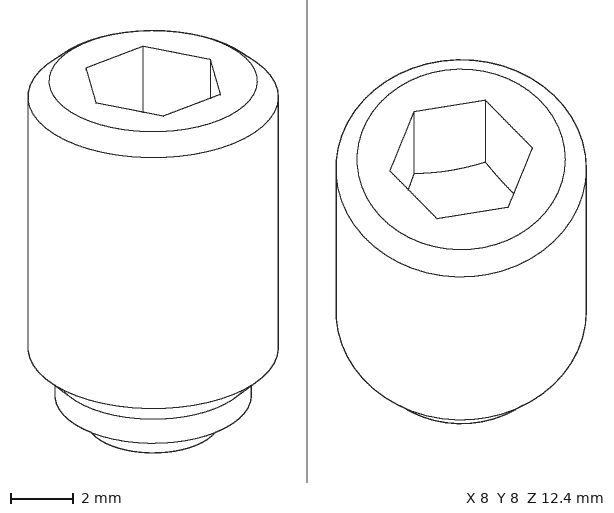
import cadquery as cq
import math

total_height = 12.4
body_radius = 8.0 / 2

ball_radius = 2.75
ball_height = 4.5
ball_center_z = ball_height - ball_radius

body_bottom_z = 0.92
collar_radius = 3.14
collar_height = 0.88
lower_taper_height = 0.87
top_face_radius = 3.32
top_edge_radius = 3.5
top_rim_height = 0.1
upper_taper_height = 0.47

socket_flats = 4.0
socket_depth = 3.97
socket_cone_angle = 120.0
socket_corner_radius = socket_flats / math.sqrt(3)


def make_flat_ball():
    """Sphere with its lower cap cut off at Z = 0."""
    sphere = cq.Workplane("XY").sphere(ball_radius).translate((0, 0, ball_center_z))
    upper_space = cq.Workplane("XY").circle(body_radius).extrude(total_height)
    return sphere.intersect(upper_space)


def make_body_blank():
    """Turned outside of the screw: collar, tapers and narrow top rim."""
    collar_top_z = body_bottom_z + collar_height
    rim_z = total_height - top_rim_height
    return (
        cq.Workplane("XZ")
        .moveTo(0, body_bottom_z)
        .lineTo(collar_radius, body_bottom_z)
        .lineTo(collar_radius, collar_top_z)
        .lineTo(body_radius, collar_top_z + lower_taper_height)
        .lineTo(body_radius, rim_z - upper_taper_height)
        .lineTo(top_edge_radius, rim_z)
        .lineTo(top_face_radius, total_height)
        .lineTo(0, total_height)
        .close()
        .revolve(360, (0, 0), (0, 1))
    )


def make_hex_socket():
    """Hexagonal recess ending in a cone, as left by a drilled hole."""
    cone_top_z = total_height - socket_depth
    cone_height = socket_corner_radius / math.tan(math.radians(socket_cone_angle / 2))
    cone_tip_z = cone_top_z - cone_height
    drilled_hole = (
        cq.Workplane("XZ")
        .moveTo(0, cone_tip_z)
        .lineTo(socket_corner_radius, cone_top_z)
        .lineTo(socket_corner_radius, total_height)
        .lineTo(0, total_height)
        .close()
        .revolve(360, (0, 0), (0, 1))
    )
    hexagon = (
        cq.Workplane("XY", origin=(0, 0, cone_tip_z))
        .polygon(6, 2 * socket_corner_radius)
        .extrude(total_height - cone_tip_z)
    )
    return hexagon.intersect(drilled_hole)


ball = make_flat_ball()

screw_body = make_body_blank().cut(make_hex_socket()).cut(ball)

result = cq.Compound.makeCompound([screw_body.solids().val(), ball.solids().val()])